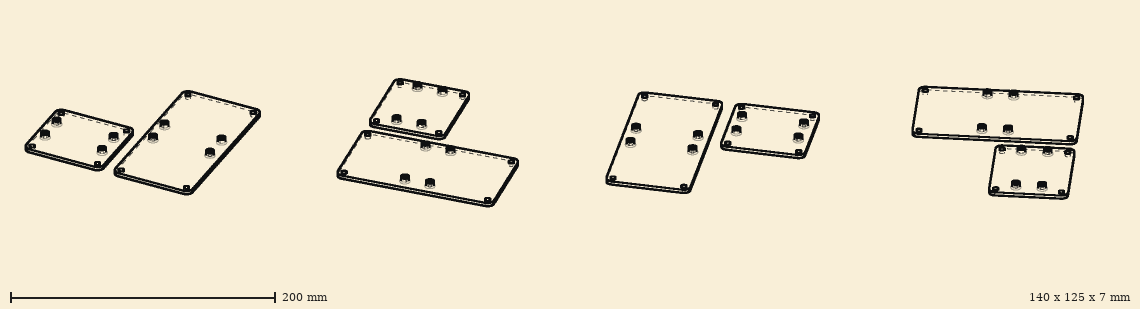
import cadquery as cq

total_width = 140.0
plate_width = 65.0
small_plate_length = 60.0
large_plate_length = 125.0
plate_thickness = 3.0
corner_radius = 5.0

mounting_hole_diameter = 4.0

total_height = 7.0
standoff_height = total_height - plate_thickness
standoff_diameter = 6.0
standoff_bore_diameter = 2.8
standoff_bore_depth = standoff_height
standoff_fillet_radius = 1.0
standoff_spacing_x = 48.0
standoff_spacing_y = 20.0

tolerance = 0.01


def rounded_plate(length):
    """Flat plate, centred in X and Y, with its underside at Z = 0."""
    plate = cq.Workplane("XY").box(plate_width, length, plate_thickness, centered=(True, True, False))
    return plate.edges("|Z").fillet(corner_radius)


def cut_mounting_holes(plate, length):
    """Cut a through hole near each corner."""
    spacing_x = plate_width - 2 * corner_radius
    spacing_y = length - 2 * corner_radius
    holes = (
        cq.Workplane("XY")
        .rect(spacing_x, spacing_y, forConstruction=True)
        .vertices()
        .circle(mounting_hole_diameter / 2)
        .extrude(plate_thickness)
    )
    return plate.cut(holes)


def standoff_profiles(z, diameter):
    """Circles at the four standoff positions, at height z."""
    return (
        cq.Workplane("XY")
        .workplane(offset=z)
        .rect(standoff_spacing_x, standoff_spacing_y, forConstruction=True)
        .vertices()
        .circle(diameter / 2)
    )


def add_standoffs(plate):
    """Add four standoffs with filleted feet and blind bores."""
    posts = standoff_profiles(plate_thickness, standoff_diameter).extrude(standoff_height)
    plate = plate.union(posts)

    def is_foot(edge):
        on_top_face = abs(edge.Center().z - plate_thickness) < tolerance
        return on_top_face and abs(edge.radius() - standoff_diameter / 2) < tolerance

    plate = plate.edges("%CIRCLE").filter(is_foot).fillet(standoff_fillet_radius)

    bores = standoff_profiles(total_height, standoff_bore_diameter).extrude(-standoff_bore_depth)
    return plate.cut(bores)


def mounting_plate(length, center_x):
    """Complete plate with its front edge at Y = 0."""
    plate = rounded_plate(length)
    plate = cut_mounting_holes(plate, length)
    plate = add_standoffs(plate)
    return plate.translate((center_x, length / 2, 0))


small_plate = mounting_plate(small_plate_length, plate_width / 2)
large_plate = mounting_plate(large_plate_length, total_width - plate_width / 2)

result = cq.Compound.makeCompound([small_plate.val(), large_plate.val()])